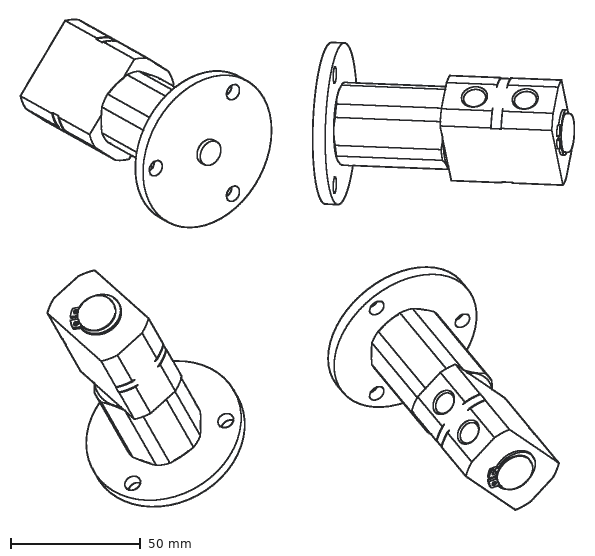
import cadquery as cq
import math

TOTAL_LENGTH = 97.5

SHAFT_DIAMETER = 15.0
SHAFT_END_FILLET = 1.3
SHAFT_OVERHANG = 3.5
STUB_DIAMETER = 10.0
STUB_OVERHANG = 2.0

BLOCK_LENGTH = 44.0
BLOCK_WIDTH = 40.0
BLOCK_THICKNESS = 25.0
BLOCK_CORNER_DIAMETER = 42.0
BLOCK_TILT = 50.0
BLOCK_GROOVE_WIDTH = 4.0
BLOCK_GROOVE_DIAMETER = 41.3

PORT_DIAMETER = 8.6
PORT_MOUTH_DIAMETER = 10.0
PORT_SPACING = 20.0

FLANGE_DIAMETER = 62.5
FLANGE_THICKNESS = 5.0
FLANGE_HOLE_DIAMETER = 6.2
FLANGE_HOLE_CIRCLE = 50.0
FLANGE_HOLE_COUNT = 3

SLEEVE_SIDES = 6
SLEEVE_ACROSS_FLATS = 30.0
SLEEVE_DIAMETER = 32.0
SLEEVE_END_DIAMETER = 29.6
SLEEVE_CHAMFER_ANGLE = 30.0

CIRCLIP_THICKNESS = 1.1
CIRCLIP_BORE = 14.3
CIRCLIP_OUTER_DIAMETER = 17.55
CIRCLIP_OFFSET = 0.7
CIRCLIP_GAP = 1.6
LUG_TIP_RADIUS = 10.8
LUGS_HEIGHT = 9.0
LUG_CORNER_FILLET = 1.0
LUG_HOLE_DIAMETER = 1.7
LUG_HOLE_REACH = 8.6
LUG_HOLE_SPACING = 5.5

block_start = SHAFT_OVERHANG
block_end = block_start + BLOCK_LENGTH
flange_end = TOTAL_LENGTH - STUB_OVERHANG
flange_start = flange_end - FLANGE_THICKNESS
sleeve_length = flange_start - block_end
circlip_start = block_start - CIRCLIP_THICKNESS


def section_at(x):
    """Workplane across the axis: local x is +Y, local y is +Z."""
    return cq.Workplane("YZ", origin=(x, 0, 0))


def cylinder(start, end, diameter):
    """Cylinder on the X axis between two stations."""
    return section_at(start).circle(diameter / 2).extrude(end - start)


def groove_cutter(start, width, floor_diameter, outer_diameter):
    """Ring that removes everything between the groove floor and the outside of a round body."""
    outer = cylinder(start, start + width, outer_diameter)
    return outer.cut(cylinder(start, start + width, floor_diameter))


def make_block():
    """Rounded bar with a groove round its corners, a shaft bore and two ports in one narrow side."""
    bar = section_at(block_start).rect(BLOCK_WIDTH, BLOCK_THICKNESS).extrude(BLOCK_LENGTH)
    block = bar.intersect(cylinder(block_start, block_end, BLOCK_CORNER_DIAMETER))

    middle = block_start + BLOCK_LENGTH / 2
    groove_start = middle - BLOCK_GROOVE_WIDTH / 2
    groove = groove_cutter(
        groove_start, BLOCK_GROOVE_WIDTH, BLOCK_GROOVE_DIAMETER, BLOCK_CORNER_DIAMETER
    )
    block = block.cut(groove)

    for side in (-1, 1):
        block = block.cut(make_port(middle + side * PORT_SPACING / 2))

    block = block.cut(cylinder(block_start, block_end, SHAFT_DIAMETER))
    return block.rotate((0, 0, 0), (1, 0, 0), BLOCK_TILT)


def make_port(x):
    """Solid of one port: a straight hole from the axis to +Y with a 45 degree mouth."""
    face_y = BLOCK_WIDTH / 2
    radius = PORT_DIAMETER / 2
    mouth_radius = PORT_MOUTH_DIAMETER / 2
    mouth_depth = mouth_radius - radius
    half_profile = [
        (0, 0),
        (radius, 0),
        (radius, face_y - mouth_depth),
        (mouth_radius, face_y),
        (0, face_y),
    ]
    return (
        cq.Workplane("XY", origin=(x, 0, 0))
        .polyline(half_profile)
        .close()
        .revolve(360, (0, 0), (0, 1))
    )


def make_sleeve():
    """Hexagonal sleeve with turned corners and conical chamfers at both ends."""
    half_side_angle = 180 / SLEEVE_SIDES
    hexagon_corner_diameter = SLEEVE_ACROSS_FLATS / math.cos(math.radians(half_side_angle))
    hexagon = (
        section_at(block_end)
        .transformed(rotate=(0, 0, half_side_angle))
        .polygon(SLEEVE_SIDES, hexagon_corner_diameter)
        .extrude(sleeve_length)
    )
    chamfer_height = (SLEEVE_DIAMETER - SLEEVE_END_DIAMETER) / 2
    chamfer_length = chamfer_height * math.tan(math.radians(SLEEVE_CHAMFER_ANGLE))
    turned_profile = [
        (block_end, 0),
        (block_end, SLEEVE_END_DIAMETER / 2),
        (block_end + chamfer_length, SLEEVE_DIAMETER / 2),
        (flange_start - chamfer_length, SLEEVE_DIAMETER / 2),
        (flange_start, SLEEVE_END_DIAMETER / 2),
        (flange_start, 0),
    ]
    turned = cq.Workplane("XY").polyline(turned_profile).close().revolve(360, (0, 0), (1, 0))
    return hexagon.intersect(turned).cut(cylinder(block_end, flange_start, SHAFT_DIAMETER))


def make_flange():
    """Round plate with three mounting holes and a centre hole for the shaft stub."""
    mounting_holes = (
        section_at(flange_start)
        .polarArray(FLANGE_HOLE_CIRCLE / 2, 180, 360, FLANGE_HOLE_COUNT)
        .circle(FLANGE_HOLE_DIAMETER / 2)
        .extrude(FLANGE_THICKNESS)
    )
    plate = cylinder(flange_start, flange_end, FLANGE_DIAMETER)
    return plate.cut(mounting_holes).cut(cylinder(flange_start, flange_end, STUB_DIAMETER))


def make_shaft():
    """Shaft with a rounded free end, a circlip groove and a thinner stub through the flange."""
    main = cylinder(0, flange_start, SHAFT_DIAMETER).faces("<X").edges().fillet(SHAFT_END_FILLET)
    groove = groove_cutter(circlip_start, CIRCLIP_THICKNESS, CIRCLIP_BORE, SHAFT_DIAMETER)
    stub = cylinder(flange_start, TOTAL_LENGTH, STUB_DIAMETER)
    return main.cut(groove).union(stub)


def make_circlip():
    """Open retaining ring, thickest at -Y, with two drilled lugs at +Y."""
    base = section_at(circlip_start)
    ring = (
        base.center(-CIRCLIP_OFFSET, 0)
        .circle(CIRCLIP_OUTER_DIAMETER / 2)
        .extrude(CIRCLIP_THICKNESS)
    )

    lug_bar = (
        base.center(LUG_TIP_RADIUS / 2, 0)
        .rect(LUG_TIP_RADIUS, LUGS_HEIGHT)
        .extrude(CIRCLIP_THICKNESS)
    )
    tip_round = base.circle(LUG_TIP_RADIUS).extrude(CIRCLIP_THICKNESS)
    lugs = lug_bar.intersect(tip_round).edges("|X").edges(">Y").fillet(LUG_CORNER_FILLET)

    gap = (
        base.center(LUG_TIP_RADIUS / 2, 0)
        .rect(LUG_TIP_RADIUS, CIRCLIP_GAP)
        .extrude(CIRCLIP_THICKNESS)
    )
    lug_holes = (
        base.pushPoints([(LUG_HOLE_REACH, side * LUG_HOLE_SPACING / 2) for side in (-1, 1)])
        .circle(LUG_HOLE_DIAMETER / 2)
        .extrude(CIRCLIP_THICKNESS)
    )
    bore = base.circle(CIRCLIP_BORE / 2).extrude(CIRCLIP_THICKNESS)
    return ring.union(lugs).cut(bore).cut(gap).cut(lug_holes)


block = make_block()
sleeve = make_sleeve()
flange = make_flange()
shaft = make_shaft()
circlip = make_circlip()

result = cq.Compound.makeCompound(
    [block.val(), sleeve.val(), flange.val(), shaft.val(), circlip.val()]
)